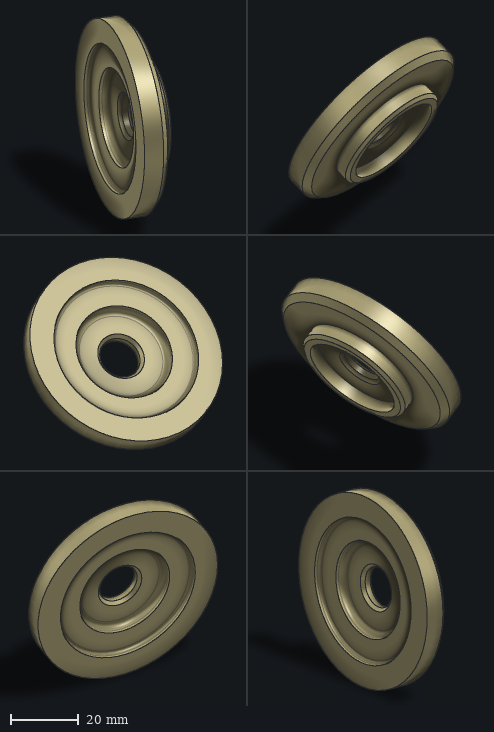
import cadquery as cq

flange_radius = 30.0
flange_thickness = 8.0
flange_chamfer = 2.0
boss_radius = 18.25
total_thickness = 13.0
boss_chamfer = 1.0

outer_recess_radius = 22.5
outer_recess_depth = 2.0
outer_recess_fillet = 1.0
inner_recess_radius = 15.0
inner_recess_depth = 3.0
inner_recess_fillet = 2.0

bore_radius = 6.25
bore_chamfer = 1.0

web_thickness = 4.0
boss_pocket_radius = inner_recess_radius


def cylinder(radius, start, length):
    """Cylinder along +Y from the given Y position."""
    return cq.Workplane("XZ", origin=(0, start, 0)).circle(radius).extrude(-length)


def recess_cutter(radius, start, depth, floor_fillet):
    """Round pocket tool with a rounded edge around its floor."""
    floor = start + depth
    floor_radius = radius - floor_fillet
    profile = cq.Workplane("XY").moveTo(0, start).lineTo(radius, start)
    if depth > floor_fillet:
        profile = profile.lineTo(radius, floor - floor_fillet)
    profile = profile.radiusArc((floor_radius, floor), -floor_fillet)
    profile = profile.lineTo(0, floor).close()
    return profile.revolve(360, (0, 0, 0), (0, 1, 0))


flange = cylinder(flange_radius, 0, flange_thickness).faces(">Y").chamfer(flange_chamfer)
boss = cylinder(boss_radius, 0, total_thickness).faces(">Y").chamfer(boss_chamfer)
body = flange.union(boss)

inner_floor = outer_recess_depth + inner_recess_depth
body = body.cut(recess_cutter(outer_recess_radius, 0, outer_recess_depth, outer_recess_fillet))
body = body.cut(
    recess_cutter(inner_recess_radius, outer_recess_depth, inner_recess_depth, inner_recess_fillet)
)

web_back = inner_floor + web_thickness
body = body.cut(cylinder(boss_pocket_radius, web_back, total_thickness - web_back))

mouth_radius = bore_radius + bore_chamfer
bore_cutter = (
    cq.Workplane("XY")
    .moveTo(0, inner_floor)
    .lineTo(mouth_radius, inner_floor)
    .lineTo(bore_radius, inner_floor + bore_chamfer)
    .lineTo(bore_radius, web_back - bore_chamfer)
    .lineTo(mouth_radius, web_back)
    .lineTo(0, web_back)
    .close()
    .revolve(360, (0, 0, 0), (0, 1, 0))
)
result = body.cut(bore_cutter)